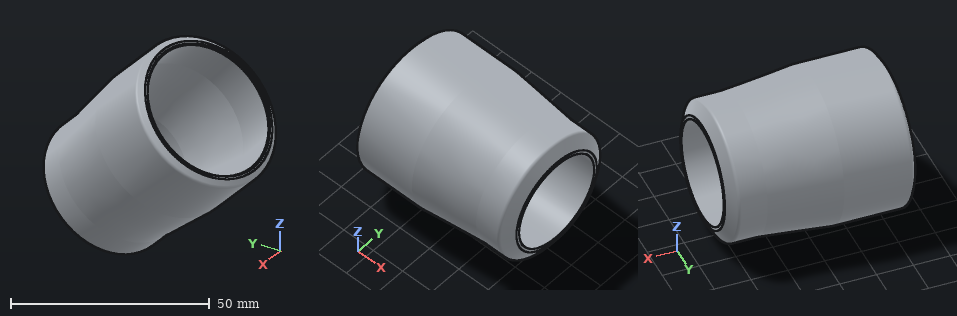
import cadquery as cq
import math

length = 50.0
large_outer_radius = 42.0 / 2
large_bore_radius = 36.0 / 2
small_outer_radius = 38.0 / 2
small_bore_radius = 28.0 / 2
taper_start = 20.0
taper_length = 20.0
taper_end = taper_start + taper_length

bore_taper_start = 12.0
bore_taper_end = bore_taper_start + taper_length

bevel_angle = math.radians(60.0)
large_face_radius = 19.0
small_face_radius = 15.0
blend_radius = 1.0

bore_mouth_radius = 18.3
lead_in_depth = bore_mouth_radius - large_bore_radius


def bevel_blend(outer_radius, face_radius):
    """Return the bevel end, middle and cylinder end of a blend as (depth, radius)."""
    corner_depth = (outer_radius - face_radius) / math.tan(bevel_angle)
    cylinder_depth = corner_depth + blend_radius * math.tan(bevel_angle / 2)

    def arc_point(angle):
        return (
            cylinder_depth - blend_radius * math.sin(angle),
            outer_radius - blend_radius * (1 - math.cos(angle)),
        )

    return arc_point(bevel_angle), arc_point(bevel_angle / 2), arc_point(0.0)


def from_small_end(point):
    """Turn a (depth, radius) point measured from the small end into (x, radius)."""
    depth, radius = point
    return length - depth, radius


large_blend = bevel_blend(large_outer_radius, large_face_radius)
small_blend = [from_small_end(p) for p in bevel_blend(small_outer_radius, small_face_radius)]

section = (
    cq.Workplane("XZ")
    .moveTo(0, bore_mouth_radius)
    .lineTo(0, large_face_radius)
    .lineTo(*large_blend[0])
    .threePointArc(large_blend[1], large_blend[2])
    .lineTo(taper_start, large_outer_radius)
    .lineTo(taper_end, small_outer_radius)
    .lineTo(*small_blend[2])
    .threePointArc(small_blend[1], small_blend[0])
    .lineTo(length, small_face_radius)
    .lineTo(length, small_bore_radius)
    .lineTo(bore_taper_end, small_bore_radius)
    .lineTo(bore_taper_start, large_bore_radius)
    .lineTo(lead_in_depth, large_bore_radius)
    .close()
)

result = section.revolve(360, (0, 0, 0), (1, 0, 0))